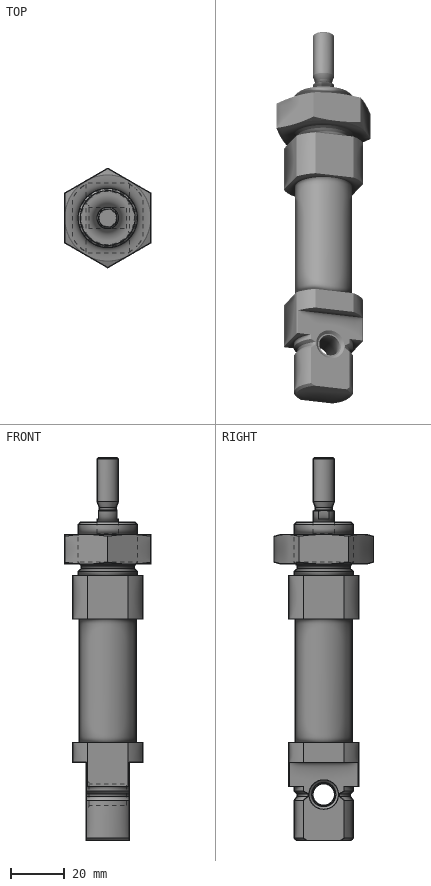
import cadquery as cq
import math

BLOCK_BOTTOM = 20.0
FLANGE_BOTTOM = 29.0
FLANGE_TOP = 36.4
COLLAR_BOTTOM = 82.1
COLLAR_TOP = 98.3
NUT_BOTTOM = 102.5
NUT_TOP = 113.5
CAP_TOP = 118.0
ROD_TOP = 142.0

TUBE_DIAMETER = 21.3
SQUARE_WIDTH = 26.0
SQUARE_CORNER_DIAMETER = 30.0
TAIL_THICKNESS = 16.0
THREAD_DIAMETER = 22.0
THREAD_CHAMFER = 0.9
UNDERCUT_DIAMETER = 19.7
UNDERCUT_STEEP_RUN = 1.0
UNDERCUT_FLAT = 1.0
UNDERCUT_SHALLOW_RUN = 1.4
TAIL_UNDERCUT_TOP = 18.3
NECK_UNDERCUT_BOTTOM = 99.8
PIVOT_HEIGHT = 17.0
PIVOT_DIAMETER = 8.0
PIVOT_SEAT_DIAMETER = 9.0
PIVOT_RIM_DIAMETER = 11.0

NUT_WIDTH = 32.0
NUT_CORNER_WIDTH = NUT_WIDTH / math.cos(math.radians(30))
NUT_CHAMFER_ANGLE = 15

ROD_DIAMETER = 8.0
ROD_SOCKET_DEPTH = 4.3
ROD_BOTTOM = CAP_TOP - ROD_SOCKET_DEPTH
ROD_TIP_CHAMFER = 0.5
ROD_NECK_DIAMETER = 6.4
ROD_SHOULDER = 122.1
ROD_NECK_BOTTOM = 122.5
ROD_NECK_TOP = 123.5
ROD_THREAD_BOTTOM = 125.7
WRENCH_WIDTH = 7.0
WRENCH_BOTTOM = 119.3


def cylinder(diameter, bottom, top):
    """Upright cylinder on the Z axis between two heights."""
    return cq.Workplane("XY").workplane(offset=bottom).circle(diameter / 2).extrude(top - bottom)


def centred_box(width_x, width_y, bottom, top):
    """Box centred on the Z axis between two heights."""
    return cq.Workplane("XY").workplane(offset=bottom).rect(width_x, width_y).extrude(top - bottom)


def revolved(profile):
    """Solid of revolution about Z from (radius, height) points."""
    return cq.Workplane("XZ").polyline(profile).close().revolve(360, (0, 0), (0, 1))


def rounded_square(bottom, top):
    """Square end piece whose corners are turned to a common diameter."""
    square = centred_box(SQUARE_WIDTH, SQUARE_WIDTH, bottom, top)
    return square.intersect(cylinder(SQUARE_CORNER_DIAMETER, bottom, top))


def undercut(steep_end, direction):
    """Ring groove running up (1) or down (-1) from its steep wall to its shallow wall."""
    outer = THREAD_DIAMETER / 2
    inner = UNDERCUT_DIAMETER / 2
    floor_start = steep_end + direction * UNDERCUT_STEEP_RUN
    floor_end = floor_start + direction * UNDERCUT_FLAT
    shallow_end = floor_end + direction * UNDERCUT_SHALLOW_RUN
    return revolved([
        (outer, steep_end),
        (inner, floor_start),
        (inner, floor_end),
        (outer, shallow_end),
    ])


def pivot_hole():
    """Cross hole along X, countersunk at both flats down to a narrow seat."""
    face = TAIL_THICKNESS / 2
    rim = PIVOT_RIM_DIAMETER / 2
    seat = PIVOT_SEAT_DIAMETER / 2
    bore = PIVOT_DIAMETER / 2
    seat_x = face - (rim - seat)
    return (
        cq.Workplane("XY")
        .polyline([
            (-face, 0), (-face, rim), (-seat_x, seat), (-seat_x, bore),
            (seat_x, bore), (seat_x, seat), (face, rim), (face, 0),
        ])
        .close()
        .revolve(360, (0, 0), (1, 0))
        .translate((0, 0, PIVOT_HEIGHT))
    )


def make_housing():
    tail = cylinder(THREAD_DIAMETER, 0, FLANGE_BOTTOM).faces("<Z").chamfer(THREAD_CHAMFER)
    tail = tail.cut(undercut(TAIL_UNDERCUT_TOP, -1))
    tail = tail.union(rounded_square(BLOCK_BOTTOM, FLANGE_BOTTOM))
    tail = tail.intersect(centred_box(TAIL_THICKNESS, SQUARE_WIDTH, 0, FLANGE_BOTTOM))

    neck = cylinder(THREAD_DIAMETER, COLLAR_TOP, CAP_TOP).faces(">Z").chamfer(THREAD_CHAMFER)
    neck = neck.cut(undercut(NECK_UNDERCUT_BOTTOM, 1))

    body = (
        tail.union(rounded_square(FLANGE_BOTTOM, FLANGE_TOP))
        .union(cylinder(TUBE_DIAMETER, FLANGE_TOP, COLLAR_BOTTOM))
        .union(rounded_square(COLLAR_BOTTOM, COLLAR_TOP))
        .union(neck)
    )
    body = body.cut(cylinder(ROD_DIAMETER, ROD_BOTTOM, CAP_TOP))
    return body.cut(pivot_hole())


def make_nut():
    """Hex nut with corners on the Y axis, both ends coned down to the flats."""
    height = NUT_TOP - NUT_BOTTOM
    hexagon = (
        cq.Workplane("XY")
        .workplane(offset=NUT_BOTTOM)
        .polygon(6, NUT_CORNER_WIDTH)
        .extrude(height)
        .rotate((0, 0, 0), (0, 0, 1), 90)
    )
    flat_radius = NUT_WIDTH / 2
    corner_radius = NUT_CORNER_WIDTH / 2
    cone_height = (corner_radius - flat_radius) * math.tan(math.radians(NUT_CHAMFER_ANGLE))
    coned_blank = revolved([
        (0, NUT_BOTTOM),
        (flat_radius, NUT_BOTTOM),
        (corner_radius, NUT_BOTTOM + cone_height),
        (corner_radius, NUT_TOP - cone_height),
        (flat_radius, NUT_TOP),
        (0, NUT_TOP),
    ])
    return hexagon.intersect(coned_blank).cut(cylinder(THREAD_DIAMETER, NUT_BOTTOM, NUT_TOP))


def make_rod():
    """Piston rod with a necked threaded end and two wrench flats."""
    radius = ROD_DIAMETER / 2
    neck_radius = ROD_NECK_DIAMETER / 2
    rod = revolved([
        (0, ROD_BOTTOM),
        (radius, ROD_BOTTOM),
        (radius, ROD_SHOULDER),
        (neck_radius, ROD_NECK_BOTTOM),
        (neck_radius, ROD_NECK_TOP),
        (radius, ROD_THREAD_BOTTOM),
        (radius, ROD_TOP - ROD_TIP_CHAMFER),
        (radius - ROD_TIP_CHAMFER, ROD_TOP),
        (0, ROD_TOP),
    ])
    collar = cylinder(ROD_DIAMETER, WRENCH_BOTTOM, ROD_NECK_BOTTOM)
    wrench_section = centred_box(WRENCH_WIDTH, ROD_DIAMETER, WRENCH_BOTTOM, ROD_NECK_BOTTOM)
    return rod.cut(collar.cut(wrench_section))


housing = make_housing()
nut = make_nut()
rod = make_rod()

result = cq.Compound.makeCompound([housing.val(), nut.val(), rod.val()])